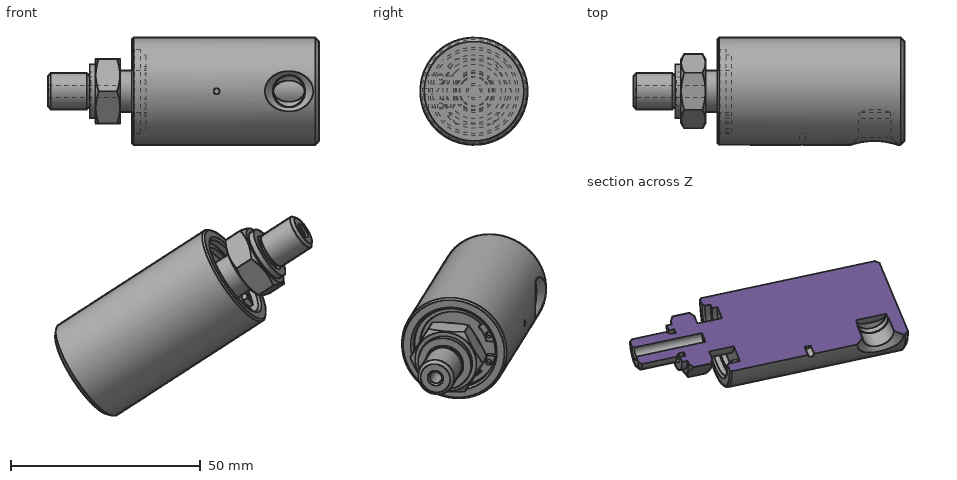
import cadquery as cq
import math

thread_end = 10.3
collar_start = 11.0
hex_start = 12.5
hex_end = 19.1
housing_start = 22.15
housing_end = 71.5

thread_dia = 9.7
thread_tip_length = 0.8
tip_face_dia = 7.9
neck_shoulder_dia = 9.5
neck_dia = 7.6
collar_relief_dia = 10.15
collar_dia = 14.3
shaft_dia = 11.0
bore_dia = 3.2
bore_mouth_dia = 4.2
bore_depth = 19.1

hex_across_flats = 17.0
hex_face_dia = 16.6
hex_bevel_angle = 30.0

housing_dia = 28.4
front_chamfer = 0.5
rear_chamfer = 1.1
recess_dia = 22.1
recess_mouth_dia = 23.3
recess_depth = 3.6

ring_inner_dia = 19.3
ring_thickness = 1.4
ring_end = housing_start + recess_depth
ring_front = ring_end - ring_thickness
ring_gap = 4.1
ear_inner_radius = 8.6
ear_half_angle = 43.5
ear_hole_dia = 1.6
ear_hole_y = -8.9
ear_hole_z = 3.85

port_x = 63.55
port_dia = 8.6
port_mouth_dia = 12.7
port_thread_end_radius = 7.15
port_drill_dia = 8.2
port_drill_end_radius = 5.5
drill_point_angle = 118.0
vent_x = 44.45
vent_dia = 1.6

housing_radius = housing_dia / 2
shaft_radius = shaft_dia / 2


def revolve_about_x(points):
    """Revolve a closed (x, radius) outline about the X axis."""
    return cq.Workplane("XY").polyline(points).close().revolve(360, (0, 0, 0), (1, 0, 0))


def rod_along_x(diameter, start, end):
    return cq.Workplane("YZ", origin=(start, 0, 0)).circle(diameter / 2).extrude(end - start)


def make_stem():
    """Threaded tip, neck set into a relief in the collar, and shaft up to the housing rear."""
    thread_radius = thread_dia / 2
    neck_radius = neck_dia / 2
    shoulder_radius = neck_shoulder_dia / 2
    relief_radius = collar_relief_dia / 2
    collar_radius = collar_dia / 2
    return revolve_about_x([
        (0, 0),
        (0, tip_face_dia / 2),
        (thread_tip_length, thread_radius),
        (thread_end, thread_radius),
        (thread_end, shoulder_radius),
        (thread_end + shoulder_radius - neck_radius, neck_radius),
        (hex_start, neck_radius),
        (hex_start, relief_radius),
        (collar_start, relief_radius),
        (collar_start, collar_radius),
        (hex_start, collar_radius),
        (hex_start, shaft_radius),
        (housing_end, shaft_radius),
        (housing_end, 0),
    ])


def make_hexagon():
    """Hexagon with corners on +Y and -Y, bevelled conically on both faces."""
    across_corners = hex_across_flats / math.cos(math.radians(30))
    corner_radius = across_corners / 2
    face_radius = hex_face_dia / 2
    bevel = (corner_radius - face_radius) * math.tan(math.radians(hex_bevel_angle))
    prism = (
        cq.Workplane("YZ", origin=(hex_start, 0, 0))
        .polygon(6, across_corners)
        .extrude(hex_end - hex_start)
    )
    bevel_envelope = revolve_about_x([
        (hex_start, 0),
        (hex_start, face_radius),
        (hex_start + bevel, corner_radius),
        (hex_end - bevel, corner_radius),
        (hex_end, face_radius),
        (hex_end, 0),
    ])
    return prism.intersect(bevel_envelope)


def make_housing():
    """Cylinder with chamfered ends and a blind recess at its front."""
    recess_radius = recess_dia / 2
    mouth_radius = recess_mouth_dia / 2
    mouth_chamfer = mouth_radius - recess_radius
    recess_floor = housing_start + recess_depth
    return revolve_about_x([
        (housing_start, mouth_radius),
        (housing_start, housing_radius - front_chamfer),
        (housing_start + front_chamfer, housing_radius),
        (housing_end - rear_chamfer, housing_radius),
        (housing_end, housing_radius - rear_chamfer),
        (housing_end, 0),
        (recess_floor, 0),
        (recess_floor, recess_radius),
        (housing_start + mouth_chamfer, recess_radius),
    ])


def make_retaining_ring():
    """Open ring with two drilled ears either side of a gap facing -Y."""
    disc = rod_along_x(recess_dia, ring_front, ring_end)
    band = disc.cut(rod_along_x(ring_inner_dia, ring_front, ring_end))
    half_width = housing_radius * math.tan(math.radians(ear_half_angle))
    ear_sector = (
        cq.Workplane("YZ", origin=(ring_front, 0, 0))
        .polyline([(0, 0), (-housing_radius, half_width), (-housing_radius, -half_width)])
        .close()
        .extrude(ring_thickness)
    )
    ears = disc.intersect(ear_sector).cut(rod_along_x(2 * ear_inner_radius, ring_front, ring_end))
    gap = (
        cq.Workplane("YZ", origin=(ring_front, -housing_radius / 2, 0))
        .rect(housing_radius, ring_gap)
        .extrude(ring_thickness)
    )
    ear_holes = (
        cq.Workplane("YZ", origin=(ring_front, 0, 0))
        .pushPoints([(ear_hole_y, ear_hole_z), (ear_hole_y, -ear_hole_z)])
        .circle(ear_hole_dia / 2)
        .extrude(ring_thickness)
    )
    return band.union(ears).cut(gap).cut(ear_holes)


def make_bore():
    """Blind axial bore with a 45 degree countersunk mouth."""
    bore_radius = bore_dia / 2
    mouth_radius = bore_mouth_dia / 2
    return revolve_about_x([
        (0, 0),
        (0, mouth_radius),
        (mouth_radius - bore_radius, bore_radius),
        (bore_depth, bore_radius),
        (bore_depth, 0),
    ])


def make_port():
    """Countersunk, drill-pointed side hole that stops on the shaft."""
    port_radius = port_dia / 2
    mouth_radius = port_mouth_dia / 2
    countersink_depth = mouth_radius - port_radius
    drill_radius = port_drill_dia / 2
    point_depth = drill_radius / math.tan(math.radians(drill_point_angle / 2))
    cutter = (
        cq.Workplane("XY", origin=(port_x, 0, 0))
        .polyline([
            (0, -housing_radius),
            (mouth_radius, -housing_radius),
            (port_radius, -housing_radius + countersink_depth),
            (port_radius, -port_thread_end_radius),
            (drill_radius, -port_thread_end_radius),
            (drill_radius, -port_drill_end_radius),
            (0, -port_drill_end_radius + point_depth),
        ])
        .close()
        .revolve(360, (0, 0, 0), (0, 1, 0))
    )
    return cutter.cut(rod_along_x(shaft_dia, housing_start, housing_end))


def make_vent():
    """Small hole from the -Y side, as deep as the wall around the recess."""
    wall = housing_radius - recess_dia / 2
    return (
        cq.Workplane("XZ", origin=(vent_x, -housing_radius + wall, 0))
        .circle(vent_dia / 2)
        .extrude(wall)
    )


result = (
    make_housing()
    .union(make_stem())
    .union(make_hexagon())
    .union(make_retaining_ring())
    .cut(make_bore())
    .cut(make_port())
    .cut(make_vent())
)